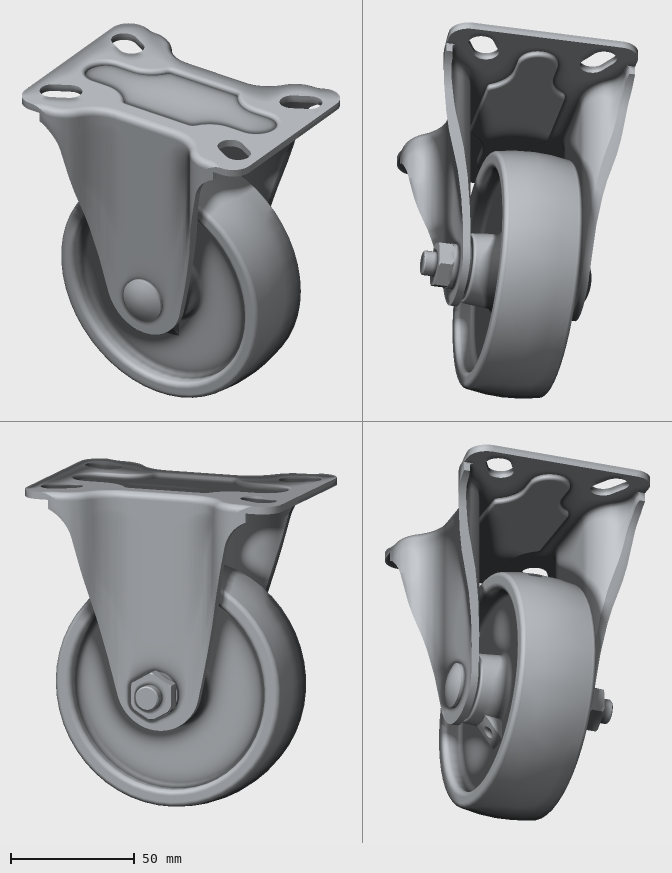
import cadquery as cq
import math


margin = 0.1

sheet = 3.0
plate_length = 110.0
plate_width = 78.0
plate_corner = 8.0
plate_top = 81.9
plate_underside = plate_top - sheet
outer_bend = 2.9
inner_bend = 1.5

leg_outer_y = 26.1
leg_flat_half = 14.1
leg_step_end = 38.8
concave_radius = 15.8
flare_radius = 8.8

taper = math.radians(13.4)
foot_radius = 17.9
foot_center_z = 2.5
shoulder_drop = 18.2
shoulder_radius = 16.6
leg_top_half = 42.6

slot_x = 42.5
slot_y = 23.7
slot_width = 10.4
slot_spacing = 6.9

recess_depth = 2.1
recess_edge_radius = 2.0
recess_drop = 2.4
recess_half_width = 16.1
recess_flat_half = 15.4
recess_end_radius = 8.2
recess_end_x = 36.9
recess_step_end = 29.9
recess_concave_radius = 15.0
recess_rim_fillet = 1.2

wheel_radius = 50.0
wheel_half_width = 16.2
tread_edge_radius = 48.5
tread_edge_round = 2.0
rim_inner_radius = 41.5
rim_fillet = 2.2
disc_half_width = 8.6
disc_fillet = 2.0
hub_base_radius = 17.1
hub_base_fillet = 2.0
hub_draft = math.radians(5)
hub_half_length = 21.2
hub_edge_round = 1.0
collar_radius = 10.7
collar_half_length = 22.4

boss_width = 9.9
boss_radius = 23.9
boss_top_radius = 14.4
boss_top_y = 16.0
nipple_radius = 2.6
nipple_depth = 1.3
nipple_distance = 18.7

shank_radius = 5.0
sleeve_radius = 6.2
head_radius = 9.1
head_rim = 1.6
head_dome = 2.5
washer_thickness = 2.2
nut_height = 5.9
nut_flats = 17.1
nut_chamfer = 0.7
shank_end_y = 39.4
shank_chamfer = 0.5


def step_curve(x_low, y_low, x_high, y_high, low_radius):
    """Two tangent arcs, level at both ends. Returns (mid, joint, mid, end) points."""
    dx = x_high - x_low
    dy = y_high - y_low
    turn = 2 * math.atan2(abs(dy), abs(dx))
    high_radius = abs(dx) / math.sin(turn) - low_radius
    way_x = math.copysign(1, dx)
    way_y = math.copysign(1, dy)

    def low_point(angle):
        return (x_low + way_x * low_radius * math.sin(angle),
                y_low + way_y * low_radius * (1 - math.cos(angle)))

    def high_point(angle):
        return (x_high - way_x * high_radius * math.sin(angle),
                y_high - way_y * high_radius * (1 - math.cos(angle)))

    return low_point(turn / 2), low_point(turn), high_point(turn / 2), (x_high, y_high)


def mirrored_solid(quarter, bottom, height):
    """Extrude a quarter outline lying in +X +Y, mirrored over both axes."""
    half = quarter.extrude(height).translate((0, 0, bottom))
    half = half.union(half.mirror("YZ"))
    return half.union(half.mirror("XZ")).clean()


def top_edges(half_x, half_y, level):
    """Selector for the edges at one height, centered within a rectangle about the Z axis."""
    return cq.selectors.BoxSelector(
        (-half_x, -half_y, level - margin), (half_x, half_y, level + margin))


def leg_block(inset, bottom, top, bend):
    """Block bounded by the leg faces moved in by inset, with rounded top edges."""
    edge_y = plate_width / 2 - inset
    mid_low, joint, mid_high, end = step_curve(
        leg_flat_half, leg_outer_y - inset, leg_step_end, edge_y, concave_radius + inset)
    curl = flare_radius + inset
    curl_mid = (leg_step_end + curl * math.sin(math.pi / 4),
                edge_y + curl * (1 - math.cos(math.pi / 4)))
    quarter = (
        cq.Workplane("XY")
        .lineTo(0, leg_outer_y - inset)
        .lineTo(leg_flat_half, leg_outer_y - inset)
        .threePointArc(mid_low, joint)
        .threePointArc(mid_high, end)
        .threePointArc(curl_mid, (leg_step_end + curl, edge_y + curl))
        .lineTo(plate_length / 2, edge_y + curl)
        .lineTo(plate_length / 2, 0)
        .close()
    )
    block = mirrored_solid(quarter, bottom, top - bottom)
    return block.edges(top_edges(leg_step_end + curl - margin, edge_y + curl - margin, top)).fillet(bend)


def leg_side_shape():
    """Tapered side shape of the legs, carried through both legs along Y."""
    across = (math.cos(taper), -math.sin(taper))
    along = (math.sin(taper), math.cos(taper))
    foot_end = (foot_radius * across[0], foot_center_z + foot_radius * across[1])
    shoulder_z = plate_top - shoulder_drop
    run = (shoulder_z - foot_end[1]) / along[1]
    shoulder = (foot_end[0] + run * along[0], shoulder_z)
    center = (shoulder[0] + shoulder_radius * across[0], shoulder[1] + shoulder_radius * across[1])
    start_angle = math.pi - taper
    end_angle = math.acos((leg_top_half - center[0]) / shoulder_radius)
    middle = (start_angle + end_angle) / 2

    def on_shoulder(angle):
        return (center[0] + shoulder_radius * math.cos(angle),
                center[1] + shoulder_radius * math.sin(angle))

    half = (
        cq.Workplane("XZ")
        .moveTo(0, plate_top)
        .lineTo(0, foot_center_z - foot_radius)
        .threePointArc((foot_radius * math.sin(math.pi / 4),
                        foot_center_z - foot_radius * math.cos(math.pi / 4)), foot_end)
        .lineTo(*shoulder)
        .threePointArc(on_shoulder(middle), on_shoulder(end_angle))
        .lineTo(leg_top_half, plate_top)
        .close()
        .extrude(plate_width / 2, both=True)
    )
    return half.union(half.mirror("YZ"))


def recess_block(bottom, top):
    """Pressed shape: wide in the middle, narrow with round ends."""
    wide_y = recess_half_width
    mid_low, joint, mid_high, end = step_curve(
        recess_step_end, recess_end_radius, recess_flat_half, wide_y, recess_concave_radius)
    round_mid = (recess_end_x + recess_end_radius * math.cos(math.pi / 4),
                 recess_end_radius * math.sin(math.pi / 4))
    quarter = (
        cq.Workplane("XY")
        .lineTo(recess_end_x + recess_end_radius, 0)
        .threePointArc(round_mid, (recess_end_x, recess_end_radius))
        .lineTo(recess_step_end, recess_end_radius)
        .threePointArc(mid_low, joint)
        .threePointArc(mid_high, end)
        .lineTo(0, wide_y)
        .close()
    )
    return mirrored_solid(quarter, bottom, top - bottom)


def make_bracket():
    lowest = foot_center_z - foot_radius
    body = leg_block(0, lowest, plate_top, outer_bend)
    body = body.cut(leg_block(sheet, lowest, plate_underside, inner_bend))

    plate_layer = cq.Workplane("XY").workplane(offset=plate_underside).rect(
        plate_length, plate_width).extrude(sheet)
    body = body.intersect(leg_side_shape().union(plate_layer))
    outline = (
        cq.Workplane("XY")
        .workplane(offset=lowest)
        .rect(plate_length, plate_width)
        .extrude(plate_top - lowest)
        .edges("|Z")
        .fillet(plate_corner)
    )
    body = body.intersect(outline)

    floor = recess_block(plate_underside - recess_drop, plate_underside + sheet / 2)
    floor = floor.faces("<Z").edges().fillet(recess_rim_fillet)
    body = body.union(floor)
    body = body.cut(recess_block(plate_top - recess_depth, plate_top))
    rim = top_edges(recess_end_x + recess_end_radius + margin, recess_half_width + margin, plate_top)
    body = body.edges(rim).fillet(recess_edge_radius)

    for side_x in (-1, 1):
        for side_y in (-1, 1):
            angle = math.degrees(math.atan2(side_y * slot_y, side_x * slot_x))
            slot = (
                cq.Workplane("XY")
                .slot2D(slot_spacing + slot_width, slot_width, angle)
                .extrude(sheet)
                .translate((side_x * slot_x, side_y * slot_y, plate_underside))
            )
            body = body.cut(slot)

    axle_hole = cq.Workplane("XZ").circle(shank_radius).extrude(plate_width, both=True)
    return body.cut(axle_hole)


def wheel_half():
    """The +Y half of the wheel, without the crown of the tread."""
    flank_base = (hub_base_radius - hub_base_fillet * math.cos(hub_draft),
                  disc_half_width + hub_base_fillet * (1 - math.sin(hub_draft)))
    flank_end_y = hub_half_length - hub_edge_round * (1 - math.sin(hub_draft))
    flank_end_radius = flank_base[0] - (flank_end_y - flank_base[1]) * math.tan(hub_draft)
    hub_face_radius = flank_end_radius - hub_edge_round * math.cos(hub_draft)

    return (
        cq.Workplane("XY")
        .moveTo(sleeve_radius, 0)
        .lineTo(sleeve_radius, collar_half_length)
        .lineTo(collar_radius, collar_half_length)
        .lineTo(collar_radius, hub_half_length)
        .lineTo(hub_face_radius, hub_half_length)
        .radiusArc((flank_end_radius, flank_end_y), hub_edge_round)
        .lineTo(*flank_base)
        .radiusArc((hub_base_radius, disc_half_width), -hub_base_fillet)
        .lineTo(rim_inner_radius - disc_fillet, disc_half_width)
        .radiusArc((rim_inner_radius, disc_half_width + disc_fillet), -disc_fillet)
        .lineTo(rim_inner_radius, wheel_half_width - rim_fillet)
        .radiusArc((rim_inner_radius + rim_fillet, wheel_half_width), rim_fillet)
        .lineTo(tread_edge_radius - tread_edge_round, wheel_half_width)
        .radiusArc((tread_edge_radius, wheel_half_width - tread_edge_round), tread_edge_round)
        .lineTo(tread_edge_radius, 0)
        .close()
        .revolve(360, (0, 0), (0, 1))
    )


def tread_crown():
    """Ring that gives the tread its bulging running surface."""
    crown_half = wheel_half_width - tread_edge_round
    return (
        cq.Workplane("XY")
        .moveTo(rim_inner_radius + rim_fillet, crown_half)
        .lineTo(tread_edge_radius, crown_half)
        .threePointArc((wheel_radius, 0), (tread_edge_radius, -crown_half))
        .lineTo(rim_inner_radius + rim_fillet, -crown_half)
        .close()
        .revolve(360, (0, 0), (0, 1))
    )


def grease_boss():
    """Conical wedge between the hub and the disc, on the -Y side, below the axis."""
    cone = (
        cq.Workplane("XY")
        .moveTo(sleeve_radius, -disc_half_width)
        .lineTo(boss_radius, -disc_half_width)
        .lineTo(boss_top_radius, -boss_top_y)
        .lineTo(sleeve_radius, -boss_top_y)
        .close()
        .revolve(360, (0, 0), (0, 1))
    )
    strip = cq.Workplane("XY").box(
        boss_width, 2 * boss_top_y, boss_radius, centered=(True, True, False)
    ).translate((0, 0, -boss_radius))
    return cone.intersect(strip)


def nipple_seat():
    """Shallow conical seat, square to the sloping face of the grease boss."""
    slope = (boss_top_y - disc_half_width) / (boss_radius - boss_top_radius)
    seat_y = -disc_half_width - slope * (boss_radius - nipple_distance)
    inward = cq.Vector(0, 1, slope)
    return cq.Workplane(cq.Solid.makeCone(
        nipple_radius, 0, nipple_depth, cq.Vector(0, seat_y, -nipple_distance), inward))


def make_wheel():
    half = wheel_half()
    wheel = half.union(half.mirror("XZ")).union(tread_crown())
    return wheel.union(grease_boss()).cut(nipple_seat())


def axle_disc(radius, start, length):
    return cq.Workplane("XZ", origin=(0, start, 0)).circle(radius).extrude(-length)


def make_axle():
    leg_inner_y = leg_outer_y - sheet
    washer_end = leg_outer_y + washer_thickness

    rim_y = -leg_outer_y - head_rim
    dome_radius = (head_radius ** 2 + head_dome ** 2) / (2 * head_dome)
    head = (
        cq.Workplane("XY")
        .moveTo(0, -leg_outer_y)
        .lineTo(head_radius, -leg_outer_y)
        .lineTo(head_radius, rim_y)
        .radiusArc((0, rim_y - head_dome), dome_radius)
        .close()
        .revolve(360, (0, 0), (0, 1))
    )

    shank = axle_disc(shank_radius, -leg_outer_y, leg_outer_y + shank_end_y)
    shank = shank.faces(">Y").chamfer(shank_chamfer)
    sleeve = axle_disc(sleeve_radius, -leg_inner_y, 2 * leg_inner_y)
    washer = axle_disc(head_radius, leg_outer_y, washer_thickness)

    corner_diameter = nut_flats / math.cos(math.pi / 6)
    nut = (
        cq.Workplane("XZ", origin=(0, washer_end, 0))
        .transformed(rotate=(0, 0, 90))
        .polygon(6, corner_diameter)
        .extrude(-nut_height)
    )
    trim = axle_disc(corner_diameter / 2, washer_end, nut_height)
    nut = nut.intersect(trim.edges("%CIRCLE").chamfer(nut_chamfer))

    return head.union(shank).union(sleeve).union(washer).union(nut)


bracket = make_bracket()
wheel = make_wheel()
axle = make_axle()
result = cq.Compound.makeCompound([bracket.solids().val(), wheel.solids().val(), axle.solids().val()])